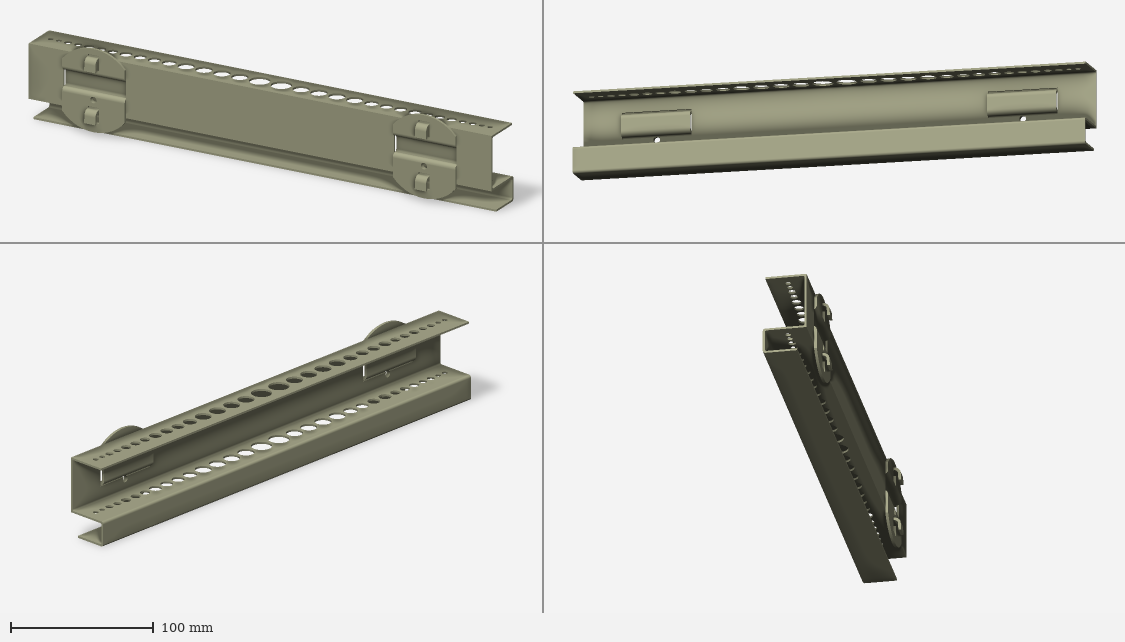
import cadquery as cq
import math

SHEET = 1.5
WEB_FILLET = 1.0
BOX_INNER_BEND = 1.5
BOX_OUTER_BEND = 2.0

RAIL_LENGTH = 371.2
RAIL_DEPTH = 31.0
TOP_FLANGE_DEPTH = 29.5
FLANGE_TOP_Z = 59.0
SHELF_TOP_Z = 19.0
LOWER_FLANGE_WIDTH = 24.5

HOLE_DIAMETERS = [15.0] + [12.0] * 4 + [10.0] + [9.0] * 3 + [7.0] * 3 + [5.5] * 2 + [4.0] * 2
HOLE_GAP = 2.5
HOLE_ROW_Y = 15.0

PLATE_OFFSET_X = 132.5
PLATE_SHEET = 2.0
PLATE_WIDTH = 50.0
PLATE_TOP_Z = 65.5
PLATE_HEIGHT = 62.5
PLATE_ARC_RADIUS = 33.0
GROOVE_TOP_Z = 48.0
GROOVE_BOTTOM_Z = 29.0
GROOVE_CREST_RADIUS = 3.5
GROOVE_ROOT_RADIUS = 1.67
PIN_HOLE_DIAMETER = 5.0
PIN_HOLE_Z = 27.0

HOOK_WIDTH = 9.0
HOOK_REACH = 7.5
HOOK_TOP_Z = 59.5
HOOK_PITCH = 39.0
HOOK_DROP = 9.5
HOOK_BEND = 4.5
HOOK_ROOT_RADIUS = 1.5
HOOK_LEAN = 0.5
HOOK_SLOT_HEIGHT = 12.0


def yz_prism(outline, width):
    """Extrude a closed YZ outline to a prism centred on x = 0."""
    return outline.extrude(width).translate((-width / 2, 0, 0))


def fillet_edge(profile, y, z, radius):
    """Fillet the X-parallel edge running through (y, z)."""
    tolerance = 0.2
    corner = cq.selectors.BoxSelector(
        (-RAIL_LENGTH, y - tolerance, z - tolerance),
        (RAIL_LENGTH, y + tolerance, z + tolerance),
    )
    return profile.edges(corner).fillet(radius)


def make_rail():
    """Channel with a top flange, and a shelf folded back under itself as an open box."""
    shelf_bottom = SHELF_TOP_Z - SHEET
    outline = cq.Workplane("YZ").polyline([
        (TOP_FLANGE_DEPTH, FLANGE_TOP_Z),
        (0, FLANGE_TOP_Z),
        (0, shelf_bottom),
        (RAIL_DEPTH - SHEET, shelf_bottom),
        (RAIL_DEPTH - SHEET, SHEET),
        (RAIL_DEPTH - LOWER_FLANGE_WIDTH, SHEET),
        (RAIL_DEPTH - LOWER_FLANGE_WIDTH, 0),
        (RAIL_DEPTH, 0),
        (RAIL_DEPTH, SHELF_TOP_Z),
        (SHEET, SHELF_TOP_Z),
        (SHEET, FLANGE_TOP_Z - SHEET),
        (TOP_FLANGE_DEPTH, FLANGE_TOP_Z - SHEET),
    ]).close()
    rail = yz_prism(outline, RAIL_LENGTH)
    for z in (FLANGE_TOP_Z - SHEET, SHELF_TOP_Z):
        rail = fillet_edge(rail, SHEET, z, WEB_FILLET)
    for z in (shelf_bottom, SHEET):
        rail = fillet_edge(rail, RAIL_DEPTH - SHEET, z, BOX_INNER_BEND)
    for z in (SHELF_TOP_Z, 0):
        rail = fillet_edge(rail, RAIL_DEPTH, z, BOX_OUTER_BEND)
    return rail


def make_hole_row():
    """Cutters through the top flange and the shelf, evenly gapped from the middle outwards."""
    cutters = cq.Workplane("XY")
    x = HOLE_GAP / 2
    for diameter in HOLE_DIAMETERS:
        x += diameter / 2
        cutters = cutters.union(
            cq.Workplane("XY", origin=(0, 0, SHELF_TOP_Z - 2 * SHEET))
            .pushPoints([(-x, HOLE_ROW_Y), (x, HOLE_ROW_Y)])
            .circle(diameter / 2)
            .extrude(FLANGE_TOP_Z - SHELF_TOP_Z + 3 * SHEET)
        )
        x += diameter / 2 + HOLE_GAP
    return cutters


def groove_solid(crest, root):
    """Groove bounded by one face of the sheet; both faces bend about the same centres."""
    neck_y = GROOVE_CREST_RADIUS - PLATE_SHEET
    mouth_y = neck_y - crest
    floor_y = neck_y + root
    top_root_z = GROOVE_TOP_Z - GROOVE_CREST_RADIUS - GROOVE_ROOT_RADIUS
    bottom_root_z = GROOVE_BOTTOM_Z + GROOVE_CREST_RADIUS + GROOVE_ROOT_RADIUS
    crest_mid = crest * math.sqrt(0.5)
    root_mid = root * math.sqrt(0.5)
    outline = (
        cq.Workplane("YZ")
        .moveTo(mouth_y, GROOVE_TOP_Z)
        .threePointArc((neck_y - crest_mid, GROOVE_TOP_Z - crest_mid), (neck_y, GROOVE_TOP_Z - crest))
        .threePointArc((neck_y + root_mid, top_root_z + root_mid), (floor_y, top_root_z))
        .lineTo(floor_y, bottom_root_z)
        .threePointArc((neck_y + root_mid, bottom_root_z - root_mid), (neck_y, GROOVE_BOTTOM_Z + crest))
        .threePointArc((neck_y - crest_mid, GROOVE_BOTTOM_Z + crest_mid), (mouth_y, GROOVE_BOTTOM_Z))
        .close()
    )
    return yz_prism(outline, PLATE_WIDTH)


def make_plate():
    """Flat plate with straight sides and arched ends, pressed back into a groove across it."""
    middle_z = PLATE_TOP_Z - PLATE_HEIGHT / 2
    half_width = PLATE_WIDTH / 2
    arch_rise = PLATE_ARC_RADIUS - math.sqrt(PLATE_ARC_RADIUS**2 - half_width**2)
    shoulder = PLATE_HEIGHT / 2 - arch_rise
    flat = (
        cq.Workplane("XZ", origin=(0, 0, middle_z))
        .moveTo(-half_width, -shoulder)
        .lineTo(-half_width, shoulder)
        .threePointArc((0, PLATE_HEIGHT / 2), (half_width, shoulder))
        .lineTo(half_width, -shoulder)
        .threePointArc((0, -PLATE_HEIGHT / 2), (-half_width, -shoulder))
        .close()
        .extrude(PLATE_SHEET)
    )
    groove_back = groove_solid(GROOVE_CREST_RADIUS - PLATE_SHEET, GROOVE_ROOT_RADIUS + PLATE_SHEET)
    groove_front = groove_solid(GROOVE_CREST_RADIUS, GROOVE_ROOT_RADIUS)
    return flat.union(groove_back).cut(groove_front)


def make_hook():
    """Hook that curves out of the plate, runs forward and bends down with a slight lean."""
    root_mid = HOOK_ROOT_RADIUS * (1 - math.sqrt(0.5))
    inner_bend = HOOK_BEND - PLATE_SHEET
    lean_y = HOOK_LEAN - HOOK_REACH
    bend_z = HOOK_TOP_Z - HOOK_BEND
    bend_centre_y = lean_y + HOOK_BEND
    outer_mid = HOOK_BEND * math.sqrt(0.5)
    inner_mid = inner_bend * math.sqrt(0.5)
    tip_z = HOOK_TOP_Z - HOOK_DROP
    outline = (
        cq.Workplane("YZ")
        .moveTo(0, HOOK_TOP_Z + HOOK_ROOT_RADIUS)
        .threePointArc((-root_mid, HOOK_TOP_Z + root_mid), (-HOOK_ROOT_RADIUS, HOOK_TOP_Z))
        .lineTo(bend_centre_y, HOOK_TOP_Z)
        .threePointArc((bend_centre_y - outer_mid, bend_z + outer_mid), (lean_y, bend_z))
        .lineTo(-HOOK_REACH, tip_z)
        .lineTo(PLATE_SHEET - HOOK_REACH, tip_z)
        .lineTo(lean_y + PLATE_SHEET, bend_z)
        .threePointArc(
            (bend_centre_y - inner_mid, bend_z + inner_mid), (bend_centre_y, HOOK_TOP_Z - PLATE_SHEET)
        )
        .lineTo(0, HOOK_TOP_Z - PLATE_SHEET)
        .close()
    )
    return yz_prism(outline, HOOK_WIDTH)


def make_hanger():
    """Plate with a slot and a hook near each end; each hook joins the sides of its slot."""
    hanger = make_plate()
    slot_top_z = HOOK_TOP_Z + HOOK_ROOT_RADIUS
    slot = (
        cq.Workplane("XY", origin=(0, -PLATE_SHEET / 2, slot_top_z - HOOK_SLOT_HEIGHT / 2))
        .box(HOOK_WIDTH, PLATE_SHEET, HOOK_SLOT_HEIGHT)
    )
    hook = make_hook()
    for drop in (0, HOOK_PITCH):
        hanger = hanger.cut(slot.translate((0, 0, -drop)))
        hanger = hanger.union(hook.translate((0, 0, -drop)))
    return hanger


def make_web_window():
    """Window in the web that lets the plate's groove pass through."""
    height = GROOVE_TOP_Z - GROOVE_BOTTOM_Z
    middle_z = GROOVE_BOTTOM_Z + height / 2
    return cq.Workplane("XY", origin=(0, SHEET / 2, middle_z)).box(PLATE_WIDTH, SHEET, height)


def make_pin_hole():
    """Round hole through the web and the plate, just below the groove."""
    return (
        cq.Workplane("XZ", origin=(0, SHEET, PIN_HOLE_Z))
        .circle(PIN_HOLE_DIAMETER / 2)
        .extrude(SHEET + PLATE_SHEET)
    )


result = make_rail().cut(make_hole_row())
web_window = make_web_window()
hanger = make_hanger()
pin_hole = make_pin_hole()
for side in (-1, 1):
    shift = (side * PLATE_OFFSET_X, 0, 0)
    result = result.cut(web_window.translate(shift))
    result = result.union(hanger.translate(shift))
    result = result.cut(pin_hole.translate(shift))